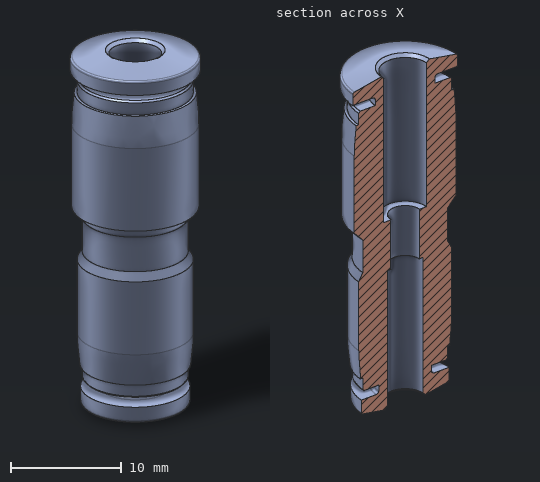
import cadquery as cq
import math

length = 35.0
waist_diameter = 9.6
waist_bottom = 15.25
waist_top = 18.65
through_diameter = 3.2
crown_slope = 0.18
button_edge_radius = 0.2
bore_chamfer = 0.3

large_end = {
    "button_diameter": 11.8,
    "button_depth": 1.92,
    "neck_diameter": 6.75,
    "neck_fillet": 0.28,
    "collar_depth": 2.75,
    "collar_diameter": 10.5,
    "collar_chamfer": 0.18,
    "barrel_depth": 4.13,
    "barrel_diameter": 11.5,
    "nose_diameter": 11.05,
    "nose_length": 3.08,
    "shoulder_length": 1.0,
    "tube_diameter": 4.75,
}
small_end = {
    "button_diameter": 9.9,
    "button_depth": 2.0,
    "neck_diameter": 6.0,
    "neck_fillet": 0.28,
    "collar_depth": 2.85,
    "collar_diameter": waist_diameter,
    "collar_chamfer": 0.18,
    "barrel_depth": 4.2,
    "barrel_diameter": 10.5,
    "nose_diameter": 10.05,
    "nose_length": 3.08,
    "shoulder_length": 0.8,
    "tube_diameter": 3.95,
}


def end_solid(end, half_length):
    """Turn one end with its face at Z = 0 and its waist side at Z = half_length."""
    button_radius = end["button_diameter"] / 2
    neck_radius = end["neck_diameter"] / 2
    collar_radius = end["collar_diameter"] / 2
    barrel_radius = end["barrel_diameter"] / 2
    nose_radius = end["nose_diameter"] / 2
    waist_radius = waist_diameter / 2
    tube_radius = end["tube_diameter"] / 2
    mouth_radius = tube_radius + bore_chamfer
    through_radius = through_diameter / 2

    crown_angle = math.atan(crown_slope)
    rim_radius = button_radius - button_edge_radius
    rim_start_radius = rim_radius + button_edge_radius * math.sin(crown_angle)
    rim_start = (rim_start_radius - mouth_radius) * crown_slope
    rim_end = rim_start + button_edge_radius * math.cos(crown_angle)
    middle_angle = (math.pi / 2 + crown_angle) / 2
    rim_middle = (
        rim_radius + button_edge_radius * math.sin(middle_angle),
        rim_end - button_edge_radius * math.cos(middle_angle),
    )

    fillet = end["neck_fillet"]
    fillet_inset = fillet * (1 - math.sqrt(0.5))
    fillet_middle = (neck_radius + fillet_inset, end["button_depth"] + fillet_inset)

    nose_end = end["barrel_depth"] + end["nose_length"]
    nose_drop = barrel_radius - nose_radius
    nose_arc_radius = (end["nose_length"] ** 2 + nose_drop ** 2) / (2 * nose_drop)
    nose_half = end["nose_length"] / 2
    nose_middle_drop = nose_arc_radius - math.sqrt(nose_arc_radius ** 2 - nose_half ** 2)
    nose_middle = (barrel_radius - nose_middle_drop, nose_end - nose_half)

    waist_half = (waist_top - waist_bottom) / 2
    shoulder_start = half_length - waist_half - end["shoulder_length"]

    chamfer = end["collar_chamfer"]
    return (
        cq.Workplane("XZ")
        .moveTo(mouth_radius, 0)
        .lineTo(rim_start_radius, rim_start)
        .threePointArc(rim_middle, (button_radius, rim_end))
        .lineTo(button_radius, end["button_depth"])
        .lineTo(neck_radius + fillet, end["button_depth"])
        .threePointArc(fillet_middle, (neck_radius, end["button_depth"] + fillet))
        .lineTo(neck_radius, end["collar_depth"])
        .lineTo(collar_radius - chamfer, end["collar_depth"])
        .lineTo(collar_radius, end["collar_depth"] + chamfer)
        .lineTo(collar_radius, end["barrel_depth"])
        .lineTo(nose_radius, end["barrel_depth"])
        .threePointArc(nose_middle, (barrel_radius, nose_end))
        .lineTo(barrel_radius, shoulder_start)
        .lineTo(waist_radius, shoulder_start + end["shoulder_length"])
        .lineTo(waist_radius, half_length)
        .lineTo(through_radius, half_length)
        .lineTo(through_radius, shoulder_start)
        .lineTo(tube_radius, shoulder_start)
        .lineTo(tube_radius, bore_chamfer)
        .close()
        .revolve(360, (0, 0), (0, 1))
    )


joint_height = (waist_bottom + waist_top) / 2
lower = end_solid(small_end, joint_height)
upper = end_solid(large_end, length - joint_height)
upper = upper.rotate((0, 0, 0), (1, 0, 0), 180).translate((0, 0, length))

result = lower.union(upper, clean=True)